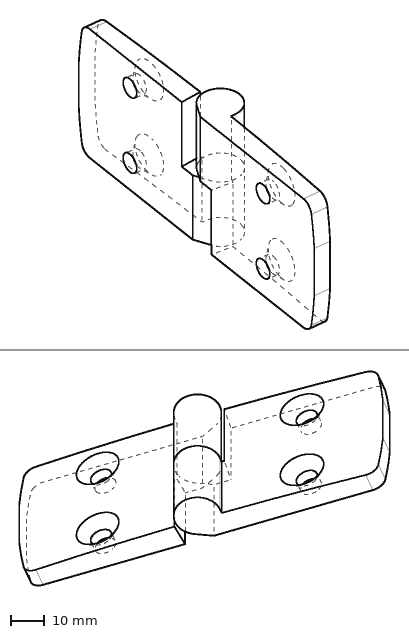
import cadquery as cq
import math

length = 115.0
height = 48.0
half_length = length / 2
half_height = height / 2

barrel_radius = 7.1
axis_y = 8.9
flat_angle = math.radians(27.0)
flat_tangent_x = barrel_radius * math.sin(flat_angle)
flat_tangent_y = axis_y - barrel_radius * math.cos(flat_angle)
flat_end_x = -flat_tangent_x + flat_tangent_y / math.tan(flat_angle)

crown_height = 7.46
crown_radius = 1100.0
clearance_x = 7.2
slant_angle = math.radians(5.0)

straight_half = 8.8
bow_radius = 125.0
corner_radius = 4.0

hole_diameter = 6.6
sink_diameter = 13.6
sink_angle = 90.0
hole_x = 32.5
hole_z = 14.0


def crown_y(x):
    """Height of the crowned rear face above the mounting face."""
    return crown_height - crown_radius + math.sqrt(crown_radius**2 - x**2)


def prism(profile, bottom, top):
    """Extrude a closed XY profile between two Z levels."""
    return profile.extrude(top - bottom).translate((0, 0, bottom))


def knuckle_half():
    """Leaf section with its barrel, over the upper half of the height."""
    crown_middle_x = (half_length + barrel_radius) / 2
    barrel_middle = (
        -barrel_radius * math.cos(flat_angle),
        axis_y + barrel_radius * math.sin(flat_angle),
    )
    outline = (
        cq.Workplane("XY")
        .moveTo(flat_end_x, 0)
        .lineTo(half_length, 0)
        .lineTo(half_length, crown_y(half_length))
        .threePointArc((crown_middle_x, crown_y(crown_middle_x)), (barrel_radius, crown_y(barrel_radius)))
        .lineTo(barrel_radius, axis_y)
        .threePointArc(barrel_middle, (-flat_tangent_x, flat_tangent_y))
        .close()
    )
    return prism(outline, 0, half_height)


def clearance_half():
    """Leaf section beside the other leaf's knuckle, over the lower half of the height."""
    slant_top_x = clearance_x + crown_height * math.tan(slant_angle)
    middle_x = (half_length + slant_top_x) / 2
    outline = (
        cq.Workplane("XY")
        .moveTo(clearance_x, 0)
        .lineTo(half_length, 0)
        .lineTo(half_length, crown_y(half_length))
        .threePointArc((middle_x, crown_y(middle_x)), (slant_top_x, crown_y(slant_top_x)))
        .close()
    )
    return prism(outline, -half_height, 0)


def bow_x(z):
    """Outer edge position along the bow, which meets the straight part at its ends."""
    center_x = half_length - math.sqrt(bow_radius**2 - straight_half**2)
    return center_x + math.sqrt(bow_radius**2 - z**2)


def edge_outline():
    """Front outline of one leaf, reaching past the barrel, extruded through the full depth."""
    depth = axis_y + barrel_radius
    inner_x = -2 * barrel_radius
    corner_x = bow_x(half_height)
    middle_z = (straight_half + half_height) / 2
    block = (
        cq.Workplane("XZ")
        .moveTo(inner_x, -half_height)
        .lineTo(corner_x, -half_height)
        .threePointArc((bow_x(middle_z), -middle_z), (half_length, -straight_half))
        .lineTo(half_length, straight_half)
        .threePointArc((bow_x(middle_z), middle_z), (corner_x, half_height))
        .lineTo(inner_x, half_height)
        .close()
        .extrude(-depth)
    )
    corners = [(corner_x, depth / 2, side * half_height) for side in (-1, 1)]
    for corner in corners:
        block = block.edges(cq.selectors.NearestToPointSelector(corner)).fillet(corner_radius)
    return block


def screw_holes():
    """Through holes with countersinks opening on the crowned face."""
    hole_radius = hole_diameter / 2
    sink_radius = sink_diameter / 2
    widening = math.tan(math.radians(sink_angle / 2))
    neck_y = crown_y(hole_x) - (sink_radius - hole_radius) / widening
    cone_depth = axis_y - neck_y
    shank = cq.Workplane("XZ").circle(hole_radius).extrude(-axis_y)
    sink = cq.Workplane(
        cq.Solid.makeCone(
            hole_radius,
            hole_radius + cone_depth * widening,
            cone_depth,
            cq.Vector(0, neck_y, 0),
            cq.Vector(0, 1, 0),
        )
    )
    cutter = shank.union(sink)
    upper = cutter.translate((hole_x, 0, hole_z))
    lower = cutter.translate((hole_x, 0, -hole_z))
    return upper.union(lower)


def leaf():
    """Right-hand leaf, with its knuckle in the upper half."""
    body = knuckle_half().union(clearance_half())
    return body.intersect(edge_outline()).cut(screw_holes())


leaves = [leaf().rotate((0, 0, 0), (0, 1, 0), turn) for turn in (0, 180)]

result = cq.Compound.makeCompound([single.val() for single in leaves])